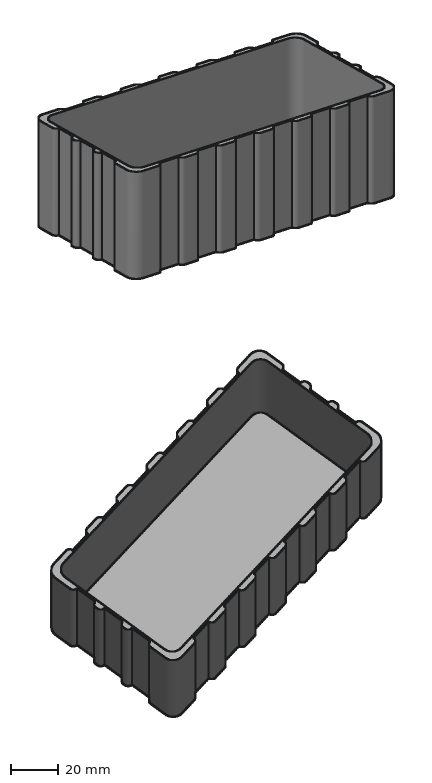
import cadquery as cq
import math

width = 70.0
length = 140.0
height = 50.0
side_pitch = length / 7
groove_width = side_pitch / 2
corner_radius = groove_width / 2

rim_width = 3.0
floor_thickness = 3.0
cavity_radius = corner_radius

groove_depth = groove_width / 5
shoulder_radius = groove_depth
side_groove_count = 6
end_groove_count = 3
end_rib_width = groove_width / 2
end_pitch = groove_width + end_rib_width


def rounded_block(size_x, size_y, block_height, radius):
    block = cq.Workplane("XY").rect(size_x, size_y).extrude(block_height)
    return block.edges("|Z").fillet(radius)


def groove_cutter():
    """Groove in the face y = 0, cut toward -Y, with convex rounded shoulders."""
    half_floor = groove_width / 2
    half_mouth = half_floor + shoulder_radius
    arc_offset = shoulder_radius * math.sqrt(0.5)
    arc_x = half_mouth - arc_offset
    arc_y = arc_offset - shoulder_radius
    return (
        cq.Workplane("XY")
        .moveTo(-half_mouth, 0)
        .threePointArc((-arc_x, arc_y), (-half_floor, -groove_depth))
        .lineTo(half_floor, -groove_depth)
        .threePointArc((arc_x, arc_y), (half_mouth, 0))
        .close()
        .extrude(height)
    )


def groove_row(count, pitch, face_distance, angle):
    """Centred row of grooves on the outer face turned by angle from +Y."""
    row = cq.Workplane("XY")
    for index in range(count):
        position = (index - (count - 1) / 2) * pitch
        row = row.add(groove_cutter().translate((position, face_distance, 0)))
    return row.combine().rotate((0, 0, 0), (0, 0, 1), angle)


result = rounded_block(width, length, height, corner_radius)

for turn in (0, 180):
    result = result.cut(groove_row(end_groove_count, end_pitch, length / 2, turn))
    result = result.cut(groove_row(side_groove_count, side_pitch, width / 2, turn + 90))

cavity = rounded_block(
    width - 2 * rim_width,
    length - 2 * rim_width,
    height - floor_thickness,
    cavity_radius,
)
result = result.cut(cavity.translate((0, 0, floor_thickness)))